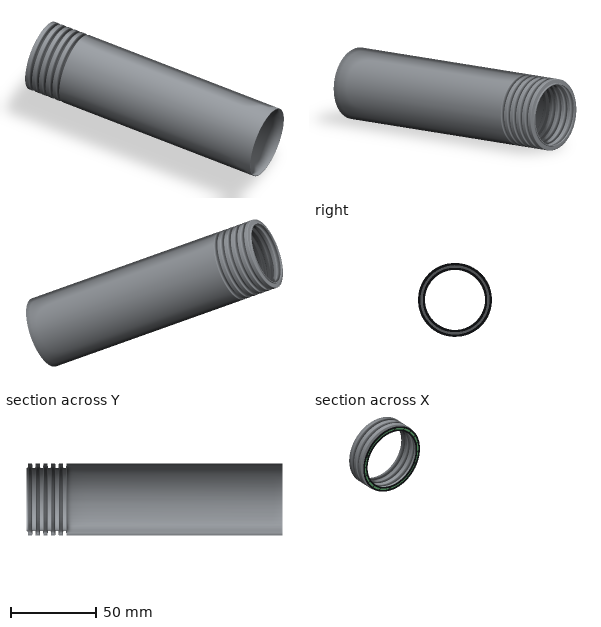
import cadquery as cq
import math

length = 150.0
outer_diameter = 42.3
root_outer_diameter = 36.9
wall = 0.38

corrugation_count = 5
pitch = 4.5
end_root_length = 0.8
flank_length = 0.22
crest_length = 2.4
bend_radius = 0.3

crest_radius = outer_diameter / 2
root_radius = root_outer_diameter / 2
flank_angle = math.atan2(crest_radius - root_radius, flank_length)
corner_shift = wall * math.tan(flank_angle / 2)


def sleeve_contour(inset, shift):
    """Sharp-cornered contour from the -X end to the +X end, inset into the wall."""
    root = root_radius - inset
    crest = crest_radius - inset
    points = [(0, root)]
    for index in range(corrugation_count):
        rise_start = end_root_length + index * pitch
        crest_start = rise_start + flank_length
        crest_end = crest_start + crest_length
        fall_end = crest_end + flank_length
        points += [
            (rise_start + shift, root),
            (crest_start + shift, crest),
            (crest_end - shift, crest),
            (fall_end - shift, root),
        ]
    tube_rise = end_root_length + corrugation_count * pitch
    points += [
        (tube_rise + shift, root),
        (tube_rise + flank_length + shift, crest),
        (length, crest),
    ]
    return points


outside = sleeve_contour(0, 0)
inside = sleeve_contour(wall, corner_shift)
sleeve = (
    cq.Workplane("XY")
    .polyline(outside + inside[::-1])
    .close()
    .revolve(360, (0, 0, 0), (1, 0, 0))
)

corrugation_zone = cq.selectors.BoxSelector(
    (end_root_length / 2, -crest_radius, -crest_radius),
    (length / 2, crest_radius, crest_radius),
)
result = sleeve.edges("%CIRCLE").edges(corrugation_zone).fillet(bend_radius)